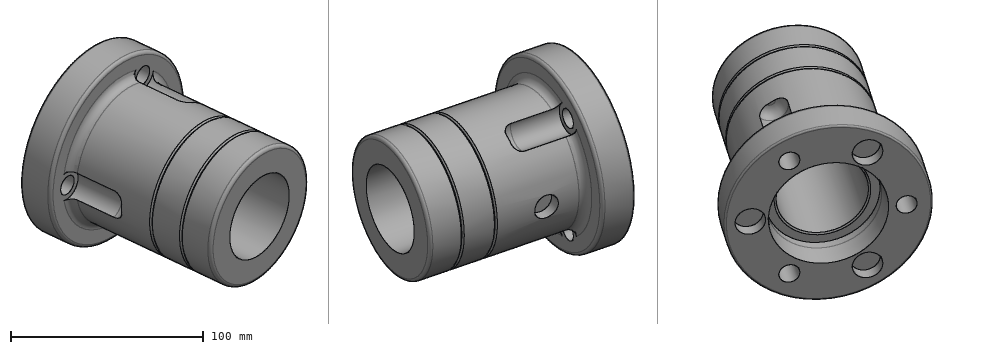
import cadquery as cq
import math

length = 115.0
flange_radius = 55.03
flange_thickness = 20.0
flange_front_fillet = 1.0
flange_back_fillet = 2.0
body_radius = 40.0
neck_fillet = 4.8
end_fillet = 2.0

bore_radius = 24.4
bore_chamfer = 1.2
bore_chamfer_depth = 0.5
recess_mouth_radius = 31.7
recess_radius = 30.4
recess_taper_depth = 12.0
recess_depth = 17.0

groove_positions = (75.0, 95.0)
groove_half_width = 0.9
groove_depth = 0.9

bolt_circle_radius = 41.3
bolt_hole_radius = 5.5
blind_hole_radius = 8.0
blind_hole_depth = 7.0
hole_spacing = 120

slot_radius = 8.7
slot_end = 55.2
slot_end_fillet = 5.8

pocket_position = 44.4
pocket_radius = 7.1
pocket_depth = 6.9


def axial_cylinder(radius, start, end, y=0.0, z=0.0):
    """Cylinder parallel to X between two X positions."""
    return cq.Workplane("YZ", origin=(start, y, z)).circle(radius).extrude(end - start)


def bolt_circle_point(angle):
    """Y and Z of a place on the bolt circle, with the angle measured from +Y."""
    turn = math.radians(angle)
    return bolt_circle_radius * math.cos(turn), bolt_circle_radius * math.sin(turn)


def make_blank():
    neck_end = flange_thickness + neck_fillet
    profile = (
        cq.Workplane("XY")
        .lineTo(0, flange_radius - flange_front_fillet)
        .radiusArc((flange_front_fillet, flange_radius), flange_front_fillet)
        .lineTo(flange_thickness - flange_back_fillet, flange_radius)
        .radiusArc((flange_thickness, flange_radius - flange_back_fillet), flange_back_fillet)
        .lineTo(flange_thickness, body_radius + neck_fillet)
        .radiusArc((neck_end, body_radius), -neck_fillet)
        .lineTo(length - end_fillet, body_radius)
        .radiusArc((length, body_radius - end_fillet), end_fillet)
        .lineTo(length, 0)
        .close()
    )
    return profile.revolve(360, (0, 0, 0), (1, 0, 0))


def cut_grooves(part):
    for position in groove_positions:
        profile = (
            cq.Workplane("XY")
            .moveTo(position - groove_half_width, body_radius)
            .lineTo(position, body_radius - groove_depth)
            .lineTo(position + groove_half_width, body_radius)
            .close()
        )
        part = part.cut(profile.revolve(360, (0, 0, 0), (1, 0, 0)))
    return part


def cut_bore(part):
    profile = (
        cq.Workplane("XY")
        .lineTo(0, recess_mouth_radius)
        .lineTo(recess_taper_depth, recess_radius)
        .lineTo(recess_depth, recess_radius)
        .lineTo(recess_depth, bore_radius + bore_chamfer)
        .lineTo(recess_depth + bore_chamfer_depth, bore_radius)
        .lineTo(length, bore_radius)
        .lineTo(length, 0)
        .close()
    )
    return part.cut(profile.revolve(360, (0, 0, 0), (1, 0, 0)))


def cut_bolt_holes(part):
    for index in range(3):
        y, z = bolt_circle_point(180 + index * hole_spacing)
        slot = axial_cylinder(slot_radius, flange_thickness, slot_end, y, z)
        slot = slot.faces(">X").edges().fillet(slot_end_fillet)
        part = part.cut(slot).cut(axial_cylinder(bolt_hole_radius, 0, flange_thickness, y, z))
    return part


def cut_blind_holes(part):
    for index in range(3):
        y, z = bolt_circle_point(index * hole_spacing)
        part = part.cut(axial_cylinder(blind_hole_radius, 0, blind_hole_depth, y, z))
    return part


def cut_radial_pocket(part):
    tool = cq.Workplane("XZ", origin=(pocket_position, body_radius + pocket_depth, 0))
    return part.cut(tool.circle(pocket_radius).extrude(2 * pocket_depth))


blank = make_blank()
result = cut_radial_pocket(cut_blind_holes(cut_bolt_holes(cut_bore(cut_grooves(blank)))))